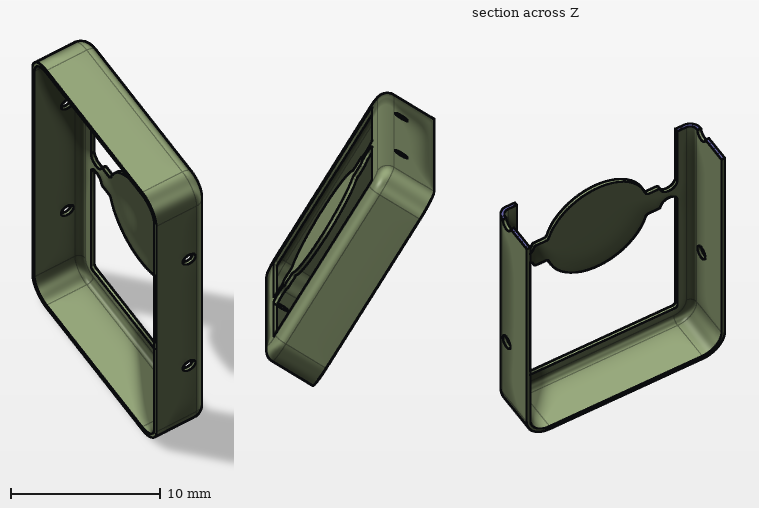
import cadquery as cq

width = 15.6
depth = 4.0
height = 26.8
wall = 0.3
corner_radius = 1.8
back_edge_radius = 0.8

window_margin = 1.5
window_width = width - 2 * window_margin
window_height = height - 2 * window_margin
window_corner_radius = 0.21

disc_diameter = 7.99
arm_height = 2.0
neck_height = 0.7
notch_radius = 0.67
notch_x = window_width / 2 - notch_radius
notch_z = neck_height / 2 + notch_radius
arm_corner_radius = 0.2

hole_diameter = 1.0
hole_spacing = 12.0
hole_from_back = 1.4


def rounded_block(size_x, size_y, size_z, radius, back_y):
    """Block centred in X and Z, with rounded corners, whose back face is at back_y."""
    block = cq.Workplane("XY").box(size_x, size_y, size_z)
    return block.edges("|Y").fillet(radius).translate((0, back_y - size_y / 2, 0))


def make_tray():
    outer = rounded_block(width, depth, height, corner_radius, depth / 2)
    outer = outer.faces(">Y").edges().fillet(back_edge_radius)
    cavity = rounded_block(
        width - 2 * wall, depth - wall, height - 2 * wall, corner_radius - wall, depth / 2 - wall
    )
    cavity = cavity.faces(">Y").edges().fillet(back_edge_radius - wall)
    return outer.cut(cavity)


def make_window():
    return rounded_block(window_width, 2 * wall, window_height, window_corner_radius, depth / 2 + wall / 2)


def floor_sketch():
    """XZ workplane on the back face; extruding goes toward -Y."""
    return cq.Workplane("XZ", origin=(0, depth / 2, 0))


def make_disc_with_arms():
    disc = floor_sketch().circle(disc_diameter / 2).extrude(wall)
    arms = floor_sketch().rect(window_width + wall, arm_height).extrude(wall)
    notch_centres = [(sx * notch_x, sz * notch_z) for sx in (-1, 1) for sz in (-1, 1)]
    notches = floor_sketch().pushPoints(notch_centres).circle(notch_radius).extrude(wall)
    held_disc = disc.union(arms.cut(notches))
    between_necks = cq.selectors.BoxSelector((-notch_x, -depth, -height), (notch_x, depth, height))
    return held_disc.edges("|Y").edges(between_necks).fillet(arm_corner_radius)


def make_holes():
    hole_y = depth / 2 - hole_from_back
    centres = [(hole_y, sz * hole_spacing / 2) for sz in (-1, 1)]
    return cq.Workplane("YZ").pushPoints(centres).circle(hole_diameter / 2).extrude(width, both=True)


result = make_tray().cut(make_window()).union(make_disc_with_arms()).cut(make_holes())